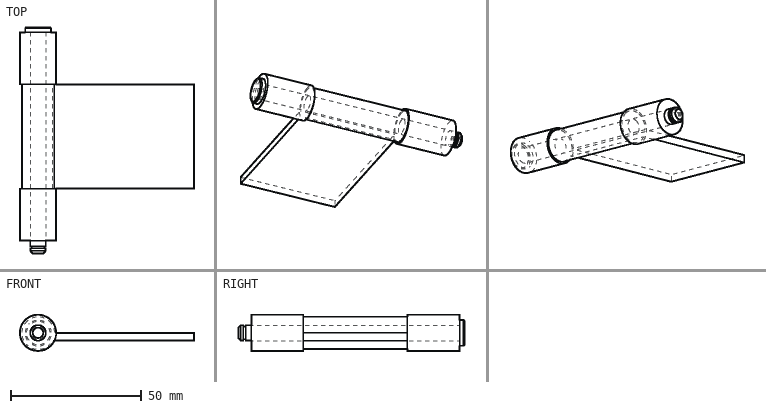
import cadquery as cq


barrel_diameter = 12.5
barrel_length = 40.0
plate_reach = 60.0
plate_thickness = 3.0

sleeve_diameter = 14.0
sleeve_length = 20.0

pin_diameter = 6.0
head_diameter = 10.0
head_height = 2.0
head_chamfer = 0.5
tip_length = 5.0
tip_chamfer = 1.0
groove_diameter = 5.0
groove_width = 0.8
groove_offset = 2.2

barrel_end = barrel_length / 2
stack_end = barrel_end + sleeve_length


def cylinder_along_y(diameter, y_start, length):
    """Solid cylinder on the hinge axis, from y_start toward +Y."""
    return (
        cq.Workplane("XZ", origin=(0, y_start, 0))
        .circle(diameter / 2)
        .extrude(-length)
    )


def make_leaf():
    """Barrel and plate in one piece; the plate's top face is level with the axis."""
    barrel = cylinder_along_y(barrel_diameter, -barrel_end, barrel_length)
    plate = cq.Workplane("XY").box(
        plate_reach, barrel_length, plate_thickness, centered=(False, True, False)
    ).translate((0, 0, -plate_thickness))
    bore = cylinder_along_y(pin_diameter, -barrel_end, barrel_length)
    return barrel.union(plate).cut(bore)


def make_sleeve(y_start):
    sleeve = cylinder_along_y(sleeve_diameter, y_start, sleeve_length)
    return sleeve.cut(cylinder_along_y(pin_diameter, y_start, sleeve_length))


def make_pin():
    """Headed pin with a retaining-ring groove near its chamfered tip."""
    tip_end = -stack_end - tip_length
    shank = cylinder_along_y(pin_diameter, tip_end, stack_end - tip_end)
    shank = shank.faces("<Y").chamfer(tip_chamfer)

    head = cylinder_along_y(head_diameter, stack_end, head_height)
    head = head.faces(">Y").chamfer(head_chamfer)

    groove_start = -stack_end - groove_offset - groove_width
    groove = cylinder_along_y(pin_diameter, groove_start, groove_width).cut(
        cylinder_along_y(groove_diameter, groove_start, groove_width)
    )
    return shank.union(head).cut(groove)


leaf = make_leaf()
sleeves = [make_sleeve(y_start) for y_start in (-stack_end, barrel_end)]
pin = make_pin()

result = cq.Compound.makeCompound(
    [leaf.val(), *[sleeve.val() for sleeve in sleeves], pin.val()]
)